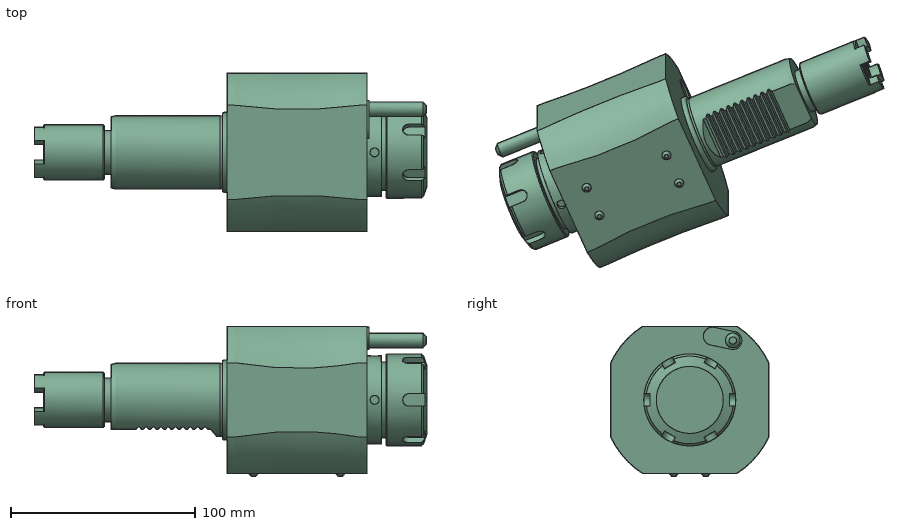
import cadquery as cq
import math


HOUSING_LENGTH = 76.0
HOUSING_WIDTH = 86.0
HOUSING_HEIGHT = 80.0
CORNER_RADIUS = 47.5
CORNER_WAIST_RADIUS = 46.3
CORNER_RIM = 4.0

FLANGE_RADIUS = 21.8
FLANGE_THICKNESS = 2.6
FLANGE_ROUND = 1.2
SHANK_RADIUS = 20.0
SHANK_LENGTH = 63.0
SHANK_LEAD_LENGTH = 2.6
SHANK_LEAD_DROP = 0.7
RELIEF_WIDTH = 1.2
RELIEF_DEPTH = 0.15

FLAT_HEIGHT = 16.0
FLAT_END = -8.9
FLAT_RUNOUT_LENGTH = 3.4
SERRATION_COUNT = 10
SERRATION_PITCH = 4.0
SERRATION_FIRST = -48.0
SERRATION_DEPTH = 1.2
SERRATION_ROOT_WIDTH = 0.8
SERRATION_MOUTH_WIDTH = SERRATION_ROOT_WIDTH + 2 * SERRATION_DEPTH

TIP_X = -104.75
NECK_RADIUS = 12.0
DRIVE_RADIUS = 15.1
DRIVE_END = -66.7
DRIVE_CHAMFER = 0.7
CLAW_GAP_DEPTH = 4.9
CORE_STEP = 0.4
CLAW_INNER_RADIUS = 9.8
CLAW_COUNT = 4
CLAW_GAP_ANGLE = 50.0
FACE_RECESS_RADIUS = 5.7
CENTRE_RADIUS = 1.9
FACE_STEP = 0.3

COLLAR_RADIUS = 24.0
COLLAR_END = 83.8
COLLAR_HOLE_X = 80.1
COLLAR_HOLE_RADIUS = 2.4
COLLAR_HOLE_DEPTH = 3.0
COLLAR_HOLE_COUNT = 4
GROOVE_RADIUS = 20.7

NUT_START = 86.2
NUT_END = 108.7
NUT_RADIUS = 25.0
NUT_BACK_CHAMFER = 0.6
NUT_EDGE_START = 105.5
NUT_EDGE_END = 106.8
NUT_EDGE_RADIUS = 23.8
NUT_FACE_RADIUS = 18.2
NUT_SLOT_COUNT = 6
NUT_SLOT_WIDTH = 6.8
NUT_SLOT_START = 95.4
NUT_SLOT_FLOOR = 21.5

PIN_Y = 23.4
PIN_Z = 32.3
PIN_RADIUS = 4.0
PIN_END = 108.3
PIN_CHAMFER = 2.0
PLATE_FAR_Y = 12.3
PLATE_FAR_Z = 34.6
PLATE_RADIUS = 4.9
PLATE_THICKNESS = 1.2

RECESS_Y = 15.7
RECESS_Z = 27.8
RECESS_RADIUS = 7.5
RECESS_DEPTH = 1.0

NOZZLE_X_PLACES = (14.3, 61.5)
NOZZLE_Y = 8.7
NOZZLE_BASE_RADIUS = 2.5
NOZZLE_TIP_RADIUS = 1.1
NOZZLE_HEIGHT = 1.6

OVERLAP = 1.0


def turned(profile):
    """Solid of revolution about X from (x, radius) points, closed along the axis."""
    axis_points = [(profile[-1][0], 0), (profile[0][0], 0)]
    outline = cq.Workplane("XY").polyline(profile + axis_points).close()
    return outline.revolve(360, (0, 0, 0), (1, 0, 0))


def along_x(radius, start, end, y=0.0, z=0.0):
    """Cylinder parallel to X between two x positions."""
    plane = cq.Workplane("YZ", origin=(start, y, z))
    return plane.circle(radius).extrude(end - start)


def make_housing():
    """Block whose four long corners are turned to a waisted drum."""
    block = cq.Workplane("XY").box(
        HOUSING_LENGTH, HOUSING_WIDTH, HOUSING_HEIGHT, centered=(False, True, True)
    )
    drum = (
        cq.Workplane("XY")
        .lineTo(0, CORNER_RADIUS)
        .lineTo(CORNER_RIM, CORNER_RADIUS)
        .threePointArc(
            (HOUSING_LENGTH / 2, CORNER_WAIST_RADIUS),
            (HOUSING_LENGTH - CORNER_RIM, CORNER_RADIUS),
        )
        .lineTo(HOUSING_LENGTH, CORNER_RADIUS)
        .lineTo(HOUSING_LENGTH, 0)
        .close()
        .revolve(360, (0, 0, 0), (1, 0, 0))
    )
    recess = along_x(RECESS_RADIUS, 0, RECESS_DEPTH, RECESS_Y, RECESS_Z)
    return block.intersect(drum).cut(recess)


def make_flange():
    flange = along_x(FLANGE_RADIUS, -FLANGE_THICKNESS, OVERLAP)
    return flange.faces("<X").edges().fillet(FLANGE_ROUND)


def make_shank():
    """Round shank with a flat, a row of cross grooves and a sloped runout at the flange."""
    lead_radius = SHANK_RADIUS - SHANK_LEAD_DROP
    relief_radius = SHANK_RADIUS - RELIEF_DEPTH
    relief_start = -FLANGE_THICKNESS - RELIEF_WIDTH
    shank = turned([
        (-SHANK_LENGTH, lead_radius),
        (SHANK_LEAD_LENGTH - SHANK_LENGTH, SHANK_RADIUS),
        (relief_start, SHANK_RADIUS),
        (relief_start, relief_radius),
        (OVERLAP, relief_radius),
    ])
    runout = (
        cq.Workplane("XZ")
        .moveTo(-SHANK_LENGTH, -FLAT_HEIGHT)
        .lineTo(FLAT_END, -FLAT_HEIGHT)
        .lineTo(FLAT_END + FLAT_RUNOUT_LENGTH, -SHANK_RADIUS)
        .lineTo(-SHANK_LENGTH, -SHANK_RADIUS)
        .close()
        .extrude(SHANK_RADIUS, both=True)
    )
    shank = shank.cut(runout)
    for index in range(SERRATION_COUNT):
        middle = SERRATION_FIRST + index * SERRATION_PITCH
        groove = (
            cq.Workplane("XZ", origin=(middle, 0, -FLAT_HEIGHT))
            .moveTo(-SERRATION_MOUTH_WIDTH / 2, 0)
            .lineTo(-SERRATION_ROOT_WIDTH / 2, SERRATION_DEPTH)
            .lineTo(SERRATION_ROOT_WIDTH / 2, SERRATION_DEPTH)
            .lineTo(SERRATION_MOUTH_WIDTH / 2, 0)
            .close()
            .extrude(SHANK_RADIUS, both=True)
        )
        shank = shank.cut(groove)
    return shank


def claw_gap(angle):
    """Sector-shaped cutter for one gap between claws, centred on an angle about X."""
    reach = 2 * DRIVE_RADIUS
    half_width = reach * math.tan(math.radians(CLAW_GAP_ANGLE / 2))
    sector = (
        cq.Workplane("YZ", origin=(TIP_X, 0, 0))
        .polyline([(0, 0), (reach, -half_width), (reach, half_width)])
        .close()
        .extrude(CLAW_GAP_DEPTH + DRIVE_CHAMFER)
    )
    return sector.rotate((0, 0, 0), (1, 0, 0), angle)


def make_drive():
    """Drive end with four claws around a slightly sunken core; gap floors are edge-chamfered."""
    gap_floor_x = TIP_X + CLAW_GAP_DEPTH
    core_x = gap_floor_x + CORE_STEP
    drive = turned([
        (gap_floor_x, DRIVE_RADIUS - DRIVE_CHAMFER),
        (gap_floor_x + DRIVE_CHAMFER, DRIVE_RADIUS),
        (DRIVE_END - DRIVE_CHAMFER, DRIVE_RADIUS),
        (DRIVE_END, DRIVE_RADIUS - DRIVE_CHAMFER),
        (DRIVE_END, NECK_RADIUS),
        (OVERLAP - SHANK_LENGTH, NECK_RADIUS),
    ])
    claws = along_x(DRIVE_RADIUS, TIP_X, gap_floor_x + DRIVE_CHAMFER)
    for index in range(CLAW_COUNT):
        claws = claws.cut(claw_gap(index * 360 / CLAW_COUNT))
    drive = drive.union(claws)
    drive = drive.cut(along_x(CLAW_INNER_RADIUS, TIP_X, core_x))
    drive = drive.cut(along_x(FACE_RECESS_RADIUS, core_x, core_x + FACE_STEP))
    return drive.cut(along_x(CENTRE_RADIUS, core_x, core_x + 2 * FACE_STEP))


def make_collar():
    collar = along_x(COLLAR_RADIUS, HOUSING_LENGTH - OVERLAP, COLLAR_END)
    core = along_x(GROOVE_RADIUS, HOUSING_LENGTH, NUT_START + OVERLAP)
    hole = (
        cq.Workplane("XY", origin=(COLLAR_HOLE_X, 0, COLLAR_RADIUS - COLLAR_HOLE_DEPTH))
        .circle(COLLAR_HOLE_RADIUS)
        .extrude(COLLAR_HOLE_DEPTH + OVERLAP)
    )
    collar = collar.union(core)
    for index in range(COLLAR_HOLE_COUNT):
        collar = collar.cut(hole.rotate((0, 0, 0), (1, 0, 0), index * 360 / COLLAR_HOLE_COUNT))
    return collar


def make_nut():
    """Clamping nut with flat-floored spanner slots open at the front face."""
    nut = turned([
        (NUT_START, NUT_RADIUS - NUT_BACK_CHAMFER),
        (NUT_START + NUT_BACK_CHAMFER, NUT_RADIUS),
        (NUT_EDGE_START, NUT_RADIUS),
        (NUT_EDGE_END, NUT_EDGE_RADIUS),
        (NUT_END, NUT_FACE_RADIUS),
    ])
    half_width = NUT_SLOT_WIDTH / 2
    slot = (
        cq.Workplane("XZ", origin=(0, -NUT_SLOT_FLOOR, 0))
        .moveTo(NUT_END, -half_width)
        .lineTo(NUT_SLOT_START + half_width, -half_width)
        .threePointArc((NUT_SLOT_START, 0), (NUT_SLOT_START + half_width, half_width))
        .lineTo(NUT_END, half_width)
        .close()
        .extrude(NUT_RADIUS - NUT_SLOT_FLOOR + OVERLAP)
    )
    for index in range(NUT_SLOT_COUNT):
        nut = nut.cut(slot.rotate((0, 0, 0), (1, 0, 0), index * 360 / NUT_SLOT_COUNT))
    return nut


def make_pin():
    """Chamfered pin standing on a thin link plate with round ends."""
    pin = along_x(PIN_RADIUS, HOUSING_LENGTH - OVERLAP, PIN_END, PIN_Y, PIN_Z)
    pin = pin.faces(">X").edges().chamfer(PIN_CHAMFER)
    run = PIN_Y - PLATE_FAR_Y
    rise = PIN_Z - PLATE_FAR_Z
    plate_start = HOUSING_LENGTH - OVERLAP
    plate = (
        cq.Workplane("YZ", origin=(plate_start, PLATE_FAR_Y + run / 2, PLATE_FAR_Z + rise / 2))
        .slot2D(math.hypot(run, rise) + 2 * PLATE_RADIUS, 2 * PLATE_RADIUS,
                math.degrees(math.atan2(rise, run)))
        .extrude(PLATE_THICKNESS + OVERLAP)
    )
    return pin.union(plate)


def make_nozzle(x, y):
    """Conical tip below the housing, rooted on a short buried cylinder."""
    profile = [
        (0, OVERLAP),
        (NOZZLE_BASE_RADIUS, OVERLAP),
        (NOZZLE_BASE_RADIUS, 0),
        (NOZZLE_TIP_RADIUS, -NOZZLE_HEIGHT),
        (0, -NOZZLE_HEIGHT),
    ]
    tip = cq.Workplane("XZ").polyline(profile).close().revolve(360, (0, 0, 0), (0, 1, 0))
    return tip.translate((x, y, -HOUSING_HEIGHT / 2))


result = make_housing()
for body in (make_flange(), make_shank(), make_drive(), make_collar(), make_nut(), make_pin()):
    result = result.union(body)
for nozzle_x in NOZZLE_X_PLACES:
    for nozzle_y in (-NOZZLE_Y, NOZZLE_Y):
        result = result.union(make_nozzle(nozzle_x, nozzle_y))